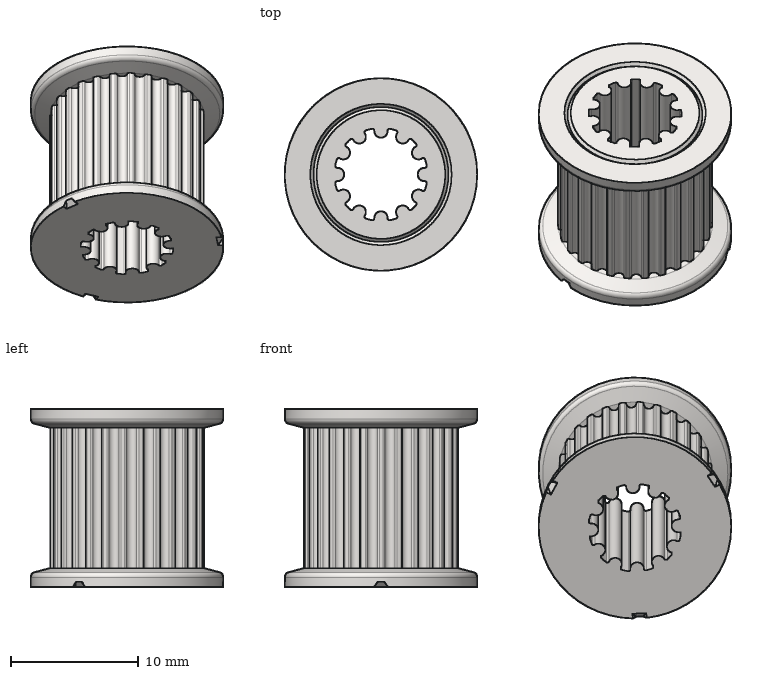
import math

import cadquery as cq

flange_radius = 15.13 / 2
flange_height = 1.5
belt_width = 11.0
total_height = belt_width + 2 * flange_height

cone_angle = math.radians(15)
shoulder_radius = 0.4

outer_tooth_count = 27
belt_radius = 6.06
outer_groove_depth = 0.48
outer_groove_radius = 0.40
outer_lip_fillet = 0.15

bore_tooth_count = 12
bore_root_radius = 3.65
bore_tip_radius = 2.88
bore_tooth_radius = 0.53
bore_root_fillet = 0.14

ring_groove_radius = 5.3
ring_groove_half_width = 0.25
ring_groove_depth = 0.25

notch_angles = (30, 150, 270)
notch_height = 0.43
notch_base_width = 1.1
notch_top_width = 0.5
notch_ramp_length = notch_height


def polar_points(radius, count, start_angle):
    """Points evenly spaced on a circle, starting at an angle in degrees."""
    angles = [math.radians(start_angle + 360 * i / count) for i in range(count)]
    return [(radius * math.cos(a), radius * math.sin(a)) for a in angles]


def make_flange():
    """Plain bottom flange, standing on Z = 0 with its cone pointing up."""
    corner_z = flange_height - (flange_radius - belt_radius) * math.tan(cone_angle)
    tangent_length = shoulder_radius * math.tan((math.pi / 2 - cone_angle) / 2)
    rim_top_z = corner_z - tangent_length
    cone_start_r = flange_radius - tangent_length * math.cos(cone_angle)
    cone_start_z = corner_z + tangent_length * math.sin(cone_angle)
    profile = (
        cq.Workplane("XZ")
        .lineTo(flange_radius, 0)
        .lineTo(flange_radius, rim_top_z)
        .tangentArcPoint((cone_start_r, cone_start_z), relative=False)
        .lineTo(belt_radius, flange_height)
        .lineTo(0, flange_height)
        .close()
    )
    return profile.revolve(360, (0, 0, 0), (0, 1, 0))


def make_belt_drum():
    """Drum between the flanges, with a land facing -Y."""
    half_pitch = 180 / outer_tooth_count
    groove_centre_radius = belt_radius - outer_groove_depth + outer_groove_radius
    grooves = (
        cq.Workplane("XY")
        .pushPoints(polar_points(groove_centre_radius, outer_tooth_count, 270 + half_pitch))
        .circle(outer_groove_radius)
        .extrude(belt_width)
    )
    drum = cq.Workplane("XY").circle(belt_radius).extrude(belt_width).cut(grooves)
    drum = drum.edges("|Z").fillet(outer_lip_fillet)
    return drum.translate((0, 0, flange_height))


def make_bore():
    """Volume of the toothed bore."""
    tooth_centre_radius = bore_tip_radius + bore_tooth_radius
    teeth = (
        cq.Workplane("XY")
        .pushPoints(polar_points(tooth_centre_radius, bore_tooth_count, 0))
        .circle(bore_tooth_radius)
        .extrude(total_height)
    )
    bore = cq.Workplane("XY").circle(bore_root_radius).extrude(total_height).cut(teeth)
    return bore.edges("|Z").fillet(bore_root_fillet)


def make_ring_groove():
    """V-section ring that is cut into the top face."""
    profile = cq.Workplane("XZ").polyline([
        (ring_groove_radius - ring_groove_half_width, total_height),
        (ring_groove_radius + ring_groove_half_width, total_height),
        (ring_groove_radius, total_height - ring_groove_depth),
    ])
    return profile.close().revolve(360, (0, 0, 0), (0, 1, 0))


def make_notch(angle):
    """Trapezoidal notch in the bottom rim whose roof ramps down towards the axis."""
    outer_end = flange_radius + notch_ramp_length
    ramp_start = flange_radius - notch_ramp_length
    trapezoid = (
        cq.Workplane("YZ")
        .polyline([
            (-notch_base_width / 2, 0),
            (notch_base_width / 2, 0),
            (notch_top_width / 2, notch_height),
            (-notch_top_width / 2, notch_height),
        ])
        .close()
        .extrude(outer_end)
    )
    ramp = (
        cq.Workplane("XZ")
        .polyline([
            (ramp_start, 0),
            (outer_end, 0),
            (outer_end, notch_height),
            (flange_radius, notch_height),
        ])
        .close()
        .extrude(notch_base_width / 2, both=True)
    )
    return trapezoid.intersect(ramp).rotate((0, 0, 0), (0, 0, 1), angle)


bottom_flange = make_flange()
top_flange = bottom_flange.mirror("XY").translate((0, 0, total_height)).cut(make_ring_groove())
for notch_angle in notch_angles:
    bottom_flange = bottom_flange.cut(make_notch(notch_angle))

body = make_belt_drum().union(bottom_flange).union(top_flange)
result = body.cut(make_bore())